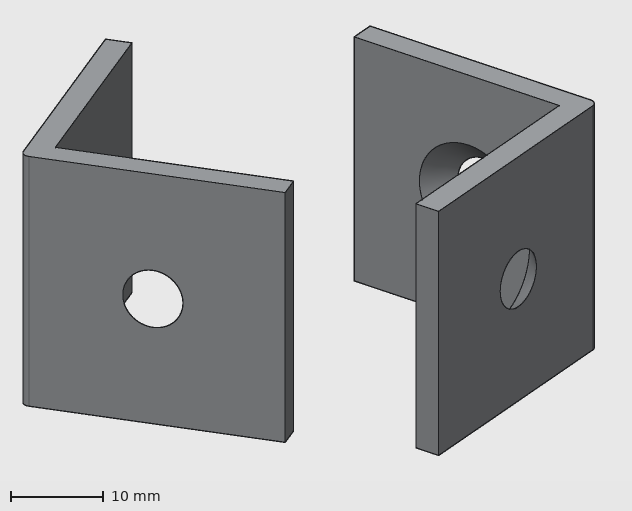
import cadquery as cq
import math

side = 30.0
thickness = 3.0
corner_radius = 1.0
hole_diameter = 6.8
sink_angle = 90.0


def angle_body():
    """L-shaped profile extruded along Z, with its outer corner rounded."""
    profile = (
        cq.Workplane("XY")
        .moveTo(0, 0)
        .lineTo(side, 0)
        .lineTo(side, thickness)
        .lineTo(thickness, thickness)
        .lineTo(thickness, side)
        .lineTo(0, side)
        .close()
    )
    body = profile.extrude(side)
    return body.faces("<X").edges("|Z and <Y").fillet(corner_radius)


def leg_hole(plane, direction):
    """Conical cutter through one leg, widening from its outer face to its inner face."""
    outer_radius = hole_diameter / 2
    inner_radius = outer_radius + thickness * math.tan(math.radians(sink_angle / 2))
    leg_middle = (side / 2, side / 2)
    outer_circle = cq.Workplane(plane).center(*leg_middle).circle(outer_radius)
    return outer_circle.workplane(offset=direction * thickness).circle(inner_radius).loft(ruled=True)


front_hole = leg_hole("XZ", -1)
side_hole = leg_hole("YZ", 1)

result = angle_body().cut(front_hole).cut(side_hole)